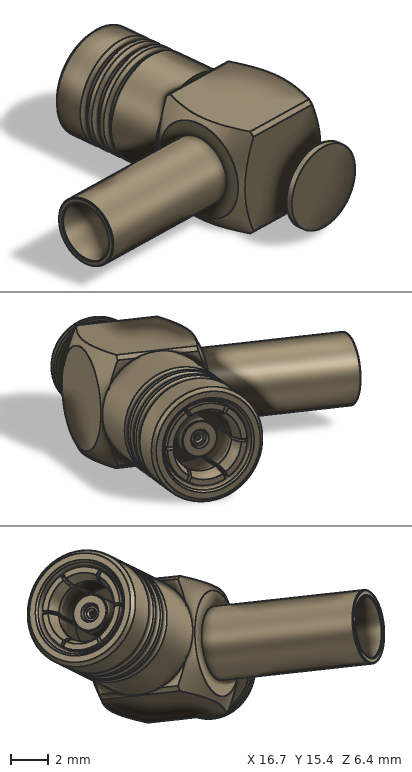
import cadquery as cq
import math


barrel_diameter = 6.4
barrel_radius = barrel_diameter / 2
barrel_length = 7.4
barrel_chamfer = 0.2
groove_count = 3
groove_start = 1.9
groove_pitch = 0.85
groove_width = 0.55
groove_floor_width = 0.2
groove_depth = 0.27

block_size = 6.35
block_chamfer = 0.23
block_cone_radius = 2.86
block_cone_angle = 30
block_center_x = barrel_length + block_size / 2
cable_hole_radius = 0.87

mouth_radius = 2.65
mouth_step_radius = 2.53
mouth_step_depth = 0.1
bore_radius = 2.33
bore_taper_depth = 0.5
sleeve_depth = 0.15
socket_depth = 3.35

sleeve_outer_radius = 2.3
sleeve_entry_radius = 1.95
sleeve_lead_radius = 1.79
sleeve_lead_depth = 0.5
sleeve_neck_radius = 1.67
sleeve_neck_depth = 0.89
sleeve_inner_radius = 1.82
sleeve_flare_depth = 1.55
slot_width = 0.17
slot_plane_count = 3

boss_radius = 1.02
boss_chamfer = 0.05
boss_depth = 1.24
boss_hole_radius = 0.52
contact_radius = 0.42
contact_depth = 1.44
contact_hole_radius = 0.15
contact_countersink = 0.13
contact_hole_depth = 1.0

ferrule_diameter = 4.0
ferrule_bore_radius = 1.67
ferrule_chamfer = 0.05
ferrule_length = 8.98

cap_radius = 2.51
cap_thickness = 0.49
cap_chamfer = 0.1
cap_end_x = 16.73


def revolve_about_x(points):
    """Revolve a closed (x, radius) outline about the X axis."""
    return cq.Workplane("XY").polyline(points).close().revolve(360, (0, 0, 0), (1, 0, 0))


def cylinder_x(radius, start, end):
    """Solid cylinder on the X axis between two x positions."""
    return cq.Workplane("YZ").workplane(offset=start).circle(radius).extrude(end - start)


def cylinder_to_minus_y(radius, start_y, length):
    """Solid cylinder on the cable axis, running from start_y towards -Y."""
    plane = cq.Plane(origin=(block_center_x, start_y, 0), xDir=(1, 0, 0), normal=(0, -1, 0))
    return cq.Workplane(plane).circle(radius).extrude(length)


def make_barrel():
    """Chamfered coupling barrel with its grip grooves."""
    flank = (groove_width - groove_floor_width) / 2
    floor_radius = barrel_radius - groove_depth
    outline = [(0, 0), (0, barrel_radius - barrel_chamfer), (barrel_chamfer, barrel_radius)]
    for i in range(groove_count):
        start = groove_start + i * groove_pitch
        outline += [
            (start, barrel_radius),
            (start + flank, floor_radius),
            (start + flank + groove_floor_width, floor_radius),
            (start + groove_width, barrel_radius),
        ]
    outline += [(barrel_length, barrel_radius), (barrel_length, 0)]
    return revolve_about_x(outline)


def make_block():
    """Cube with chamfered edges along Y and cone-trimmed corners at both Y ends."""
    half = block_size / 2
    block = (
        cq.Workplane("XY")
        .box(block_size, block_size, block_size)
        .edges("|Y")
        .chamfer(block_chamfer)
    )
    reach = block_size
    drop = (reach - block_cone_radius) * math.tan(math.radians(block_cone_angle))
    envelope = (
        cq.Workplane("XY")
        .polyline([
            (0, -half),
            (block_cone_radius, -half),
            (reach, -half + drop),
            (reach, half - drop),
            (block_cone_radius, half),
            (0, half),
        ])
        .close()
        .revolve(360, (0, 0, 0), (0, 1, 0))
    )
    return block.intersect(envelope).translate((block_center_x, 0, 0))


def make_socket_cavity():
    """Flared mouth and the bore down to the socket floor."""
    return revolve_about_x([
        (0, 0),
        (0, mouth_radius),
        (mouth_step_depth, mouth_step_radius),
        (bore_taper_depth, bore_radius),
        (socket_depth, bore_radius),
        (socket_depth, 0),
    ])


def make_sleeve():
    """Spring sleeve with a snap neck, split by slots into fingers."""
    sleeve = revolve_about_x([
        (sleeve_depth, sleeve_outer_radius),
        (sleeve_depth, sleeve_entry_radius),
        (sleeve_lead_depth, sleeve_lead_radius),
        (sleeve_neck_depth, sleeve_neck_radius),
        (sleeve_flare_depth, sleeve_inner_radius),
        (socket_depth, sleeve_inner_radius),
        (socket_depth, sleeve_outer_radius),
    ])
    for i in range(slot_plane_count):
        slot = (
            cq.Workplane("XY")
            .box(socket_depth, 2 * bore_radius, slot_width, centered=(False, True, True))
            .rotate((0, 0, 0), (1, 0, 0), i * 180 / slot_plane_count)
        )
        sleeve = sleeve.cut(slot)
    return sleeve


def make_boss():
    """Dielectric boss with a hole around the contact."""
    boss = cylinder_x(boss_radius, boss_depth, socket_depth).faces("<X").chamfer(boss_chamfer)
    return boss.cut(cylinder_x(boss_hole_radius, boss_depth, socket_depth))


def make_contact():
    """Centre contact with a countersunk blind hole in its tip."""
    hole_end = contact_depth + contact_hole_depth
    return revolve_about_x([
        (contact_depth, contact_hole_radius + contact_countersink),
        (contact_depth, contact_radius),
        (socket_depth, contact_radius),
        (socket_depth, 0),
        (hole_end, 0),
        (hole_end, contact_hole_radius),
        (contact_depth + contact_countersink, contact_hole_radius),
    ])


def make_connector():
    """Barrel, block and socket details as one solid."""
    socket_body = make_barrel().union(make_block()).cut(make_socket_cavity())
    connector = socket_body.union(make_sleeve()).union(make_boss()).union(make_contact())
    return connector.cut(cylinder_to_minus_y(cable_hole_radius, 0, block_size))


def make_ferrule():
    """Crimp tube on the -Y face of the block, both rims of its free end chamfered."""
    start_y = -block_size / 2
    tube = cylinder_to_minus_y(ferrule_diameter / 2, start_y, ferrule_length)
    bore = cylinder_to_minus_y(ferrule_bore_radius, start_y, ferrule_length)
    return tube.cut(bore).faces("<Y").edges().chamfer(ferrule_chamfer)


def make_cap():
    """Thin closing disc, chamfered on the side facing the block."""
    cap = cylinder_x(cap_radius, cap_end_x - cap_thickness, cap_end_x)
    return cap.faces("<X").edges().chamfer(cap_chamfer)


connector = make_connector()
ferrule = make_ferrule()
cap = make_cap()

result = cq.Compound.makeCompound([connector.val(), ferrule.val(), cap.val()])